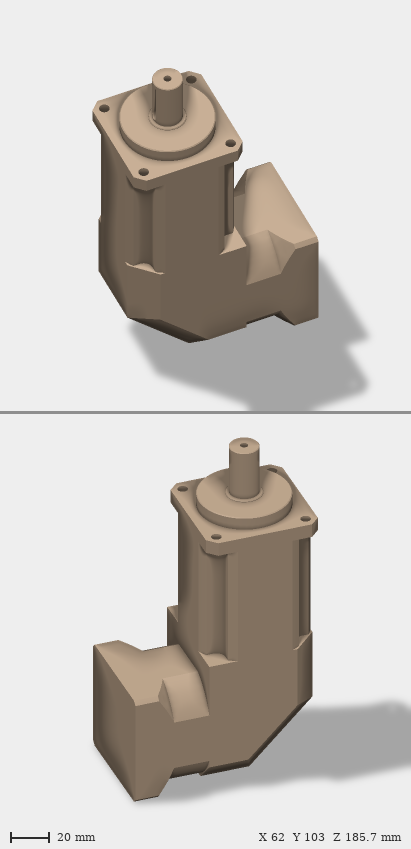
import cadquery as cq
import math


width = 62.0
half_width = width / 2
front_y = -half_width
body_back_y = half_width
arm_back_y = 72.0
bottom_z = -149.7

flange_thickness = 7.7
flange_corner_chamfer = 5.0
bolt_circle_diameter = 70.0
bolt_hole_diameter = 5.5
bolt_offset = bolt_circle_diameter / 2 / math.sqrt(2)

boss_diameter = 50.0
boss_height = 7.25
boss_edge_chamfer = 0.5
collar_diameter = 20.0
collar_top_z = 8.0
collar_edge_chamfer = 0.5
shaft_diameter = 16.0
shaft_top_z = 36.0
shaft_edge_chamfer = 0.4
centre_hole_diameter = 4.2
centre_hole_depth = 10.0
drill_point_angle = 118.0

key_width = 5.0
key_length = 25.0
key_depth = 3.0
key_end_gap = 2.0

recess_bottom_z = -74.9
recess_round_radius = 34.5
pocket_inset = 11.35
pocket_wall = half_width - pocket_inset

knee_chamfer = 35.0
housing_edge_chamfer = 13.0

arm_axis_z = bottom_z + half_width
arm_head_radius = 42.4
arm_head_length = 13.2
arm_neck_radius = 34.0
arm_cone_length = 8.3


def make_flange():
    plate = cq.Workplane("XY").rect(width, width).extrude(-flange_thickness)
    plate = plate.edges("|Z").chamfer(flange_corner_chamfer)
    bolt_spacing = 2 * bolt_offset
    holes = (
        cq.Workplane("XY")
        .rect(bolt_spacing, bolt_spacing, forConstruction=True)
        .vertices()
        .circle(bolt_hole_diameter / 2)
        .extrude(-flange_thickness)
    )
    return plate.cut(holes)


def make_boss_and_shaft():
    boss = cq.Workplane("XY").circle(boss_diameter / 2).extrude(boss_height)
    boss = boss.faces(">Z").edges().chamfer(boss_edge_chamfer)
    collar = cq.Workplane("XY").circle(collar_diameter / 2).extrude(collar_top_z)
    collar = collar.faces(">Z").edges().chamfer(collar_edge_chamfer)
    shaft = cq.Workplane("XY").circle(shaft_diameter / 2).extrude(shaft_top_z)
    shaft = shaft.faces(">Z").edges().chamfer(shaft_edge_chamfer)
    hole_radius = centre_hole_diameter / 2
    tip_height = hole_radius / math.tan(math.radians(drill_point_angle / 2))
    hole_floor_z = shaft_top_z - centre_hole_depth
    centre_hole = (
        cq.Workplane("XZ")
        .moveTo(0, shaft_top_z)
        .lineTo(hole_radius, shaft_top_z)
        .lineTo(hole_radius, hole_floor_z)
        .lineTo(0, hole_floor_z - tip_height)
        .close()
        .revolve(360, (0, 0, 0), (0, 1, 0))
    )
    key_middle_z = shaft_top_z - key_end_gap - key_length / 2
    keyway = (
        cq.Workplane("XZ", origin=(0, -shaft_diameter / 2, key_middle_z))
        .slot2D(key_length, key_width, 90)
        .extrude(-key_depth)
    )
    return boss.union(collar).union(shaft).cut(centre_hole).cut(keyway)


def make_corner_recesses():
    """Four corner cuts that turn the square housing into a rounded one with bolt pockets."""
    height = -flange_thickness - recess_bottom_z
    base = cq.Workplane("XY").workplane(offset=recess_bottom_z)
    outside = base.rect(2 * width, 2 * width).circle(recess_round_radius).extrude(height)
    pocket_size = half_width
    pocket_centre = pocket_wall + pocket_size / 2
    pocket_fillet = bolt_offset - pocket_wall
    pockets = (
        base.rect(2 * pocket_centre, 2 * pocket_centre, forConstruction=True)
        .vertices()
        .rect(pocket_size, pocket_size)
        .extrude(height)
        .edges("|Z")
        .fillet(pocket_fillet)
    )
    return outside.union(pockets)


def make_housing():
    """Upright housing with a 45 degree knee and chamfers along its front, knee and bottom sides."""
    housing = (
        cq.Workplane("YZ")
        .moveTo(front_y, -flange_thickness)
        .lineTo(body_back_y, -flange_thickness)
        .lineTo(body_back_y, bottom_z)
        .lineTo(front_y + knee_chamfer, bottom_z)
        .lineTo(front_y, bottom_z + knee_chamfer)
        .close()
        .extrude(half_width, both=True)
    )
    knee_face = housing.faces(cq.selectors.DirectionMinMaxSelector(cq.Vector(0, -1, -1)))
    side_edges = (
        housing.faces("<Y")
        .edges("|Z")
        .add(knee_face.edges("not |X"))
        .add(housing.faces("<Z").edges("|Y"))
    )
    housing = side_edges.chamfer(housing_edge_chamfer)
    return housing.cut(make_corner_recesses())


def make_motor_arm():
    """Square bar along Y, cut to a head, a cone and a round neck that meets the housing."""
    cone_back_y = arm_back_y - arm_head_length
    cone_front_y = cone_back_y - arm_cone_length
    turned_outline = (
        cq.Workplane("YZ", origin=(0, 0, arm_axis_z))
        .moveTo(body_back_y, 0)
        .lineTo(body_back_y, arm_neck_radius)
        .lineTo(cone_front_y, arm_neck_radius)
        .lineTo(cone_back_y, arm_head_radius)
        .lineTo(arm_back_y, arm_head_radius)
        .lineTo(arm_back_y, 0)
        .close()
        .revolve(360, (0, 0, 0), (1, 0, 0))
    )
    bar = cq.Workplane("XZ", origin=(0, 0, arm_axis_z)).rect(width, width).extrude(-arm_back_y)
    return turned_outline.intersect(bar)


result = (
    make_housing()
    .union(make_motor_arm())
    .union(make_flange())
    .union(make_boss_and_shaft())
)